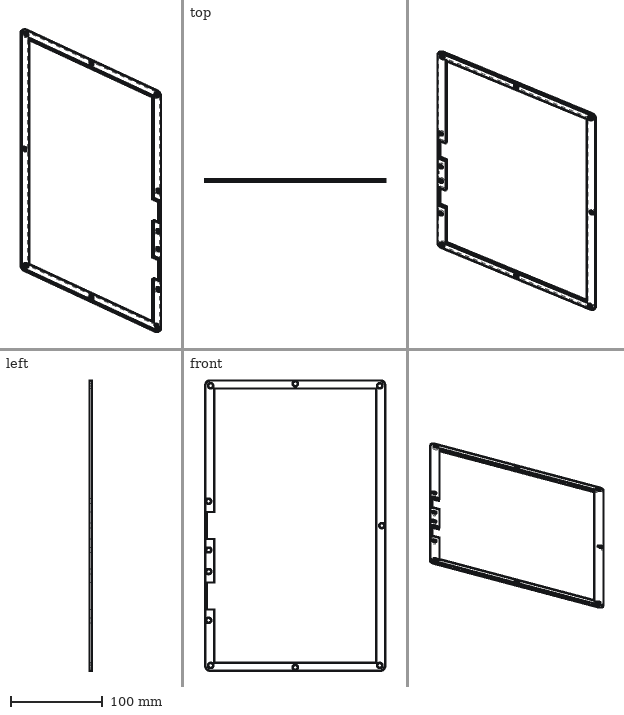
import cadquery as cq

width = 196.0
height = 316.0
thickness = 3.0
corner_radius = 6.0
side_rail = 10.0
end_rail = 9.2

hole_diameter = 5.5
corner_hole_inset = corner_radius
edge_hole_inset = 3.8

notch_length = 29.0
notch_web = 2.2
notch_centers = (0.0, -76.5)
notch_hole_offset = 26.5


def make_frame():
    """Rounded rectangular plate with a sharp-cornered window."""
    plate = cq.Workplane("XZ").rect(width, height).extrude(thickness / 2, both=True)
    plate = plate.edges("|Y").fillet(corner_radius)
    window = cq.Workplane("XZ").rect(width - 2 * side_rail, height - 2 * end_rail)
    return plate.cut(window.extrude(thickness, both=True))


def make_notches():
    """Cutters reaching from the window into the left rail."""
    depth = side_rail - notch_web
    center_x = -width / 2 + notch_web + depth
    places = [(center_x, z) for z in notch_centers]
    return cq.Workplane("XZ").pushPoints(places).rect(2 * depth, notch_length).extrude(thickness, both=True)


def make_holes():
    """Cutters for the screw holes around the frame."""
    corner_x = width / 2 - corner_hole_inset
    corner_z = height / 2 - corner_hole_inset
    edge_x = width / 2 - edge_hole_inset
    edge_z = height / 2 - edge_hole_inset

    places = [(sx * corner_x, sz * corner_z) for sx in (-1, 1) for sz in (-1, 1)]
    places += [(0, edge_z), (0, -edge_z), (edge_x, 0)]
    for center in notch_centers:
        places += [(-edge_x, center + side * notch_hole_offset) for side in (-1, 1)]
    return cq.Workplane("XZ").pushPoints(places).circle(hole_diameter / 2).extrude(thickness, both=True)


result = make_frame().cut(make_notches()).cut(make_holes())